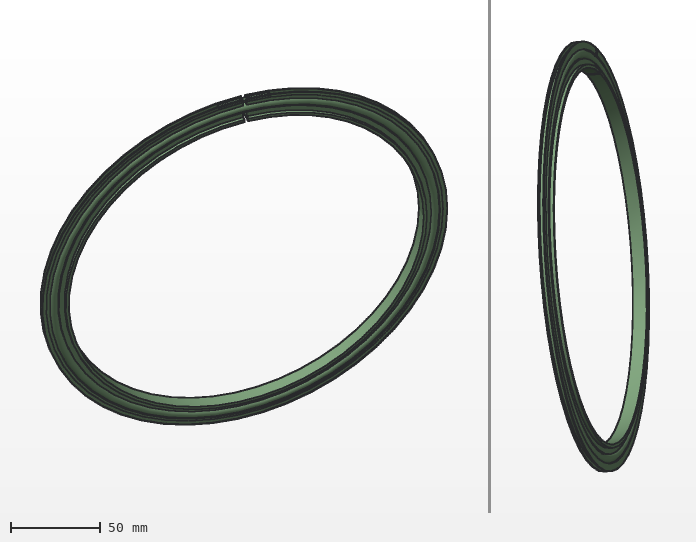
import cadquery as cq
import math

outer_radius = 120.0
groove_floor_radius = 117.5
key_outer_radius = 119.0
wire_outer_radius = 115.7
wire_inner_radius = 110.5
foot_outer_radius = 107.0
bore_radius = 105.0

foot_width = 8.0
web_width = 3.5
groove_width = 2.5
shoulder_width = (foot_width - web_width) / 2

cut_margin = 2.5

split_gap = 2.2
key_half_length = 15.4

wire_radius = (wire_outer_radius - wire_inner_radius) / 2
wire_centre_radius = (wire_outer_radius + wire_inner_radius) / 2
key_half_angle = math.degrees(math.asin(key_half_length / key_outer_radius))


def make_ring(inner, outer, width):
    """Plain ring about the X axis, centred on X = 0."""
    return (
        cq.Workplane("YZ")
        .circle(outer)
        .circle(inner)
        .extrude(width / 2, both=True)
    )


def split_at_top(ring):
    """Cut the gap through the ring at +Z."""
    gap = cq.Workplane("XY").box(foot_width, split_gap, outer_radius + cut_margin, centered=(True, True, False))
    return ring.cut(gap)


def make_outer_ring():
    """Split ring with a rectangular groove around its rim."""
    ring = make_ring(wire_outer_radius, outer_radius, web_width)
    groove = make_ring(groove_floor_radius, outer_radius + cut_margin, groove_width)
    return split_at_top(ring.cut(groove))


def make_inner_ring():
    """Split ring of T section, with its wide foot at the bore."""
    ring = make_ring(bore_radius, wire_inner_radius, foot_width)
    for side in (-1, 1):
        shoulder = make_ring(foot_outer_radius, wire_inner_radius + cut_margin, shoulder_width)
        ring = ring.cut(shoulder.translate((side * (web_width + shoulder_width) / 2, 0, 0)))
    return split_at_top(ring)


def make_wire():
    """Unbroken round wire held between the two split rings."""
    return cq.Workplane("XY").center(0, wire_centre_radius).circle(wire_radius).revolve(
        360, (0, -wire_centre_radius, 0), (1, -wire_centre_radius, 0)
    )


def make_key():
    """Curved strip in the rim groove, centred across the split."""
    section_centre = (groove_floor_radius + key_outer_radius) / 2
    section_height = key_outer_radius - groove_floor_radius
    strip = (
        cq.Workplane("XZ")
        .center(0, section_centre)
        .rect(groove_width, section_height)
        .revolve(2 * key_half_angle, (0, -section_centre, 0), (1, -section_centre, 0))
    )
    return strip.rotate((0, 0, 0), (1, 0, 0), -key_half_angle)


outer_ring = make_outer_ring()
wire = make_wire()
inner_ring = make_inner_ring()
key = make_key()

result = cq.Compound.makeCompound([outer_ring.val(), wire.val(), inner_ring.val(), key.val()])